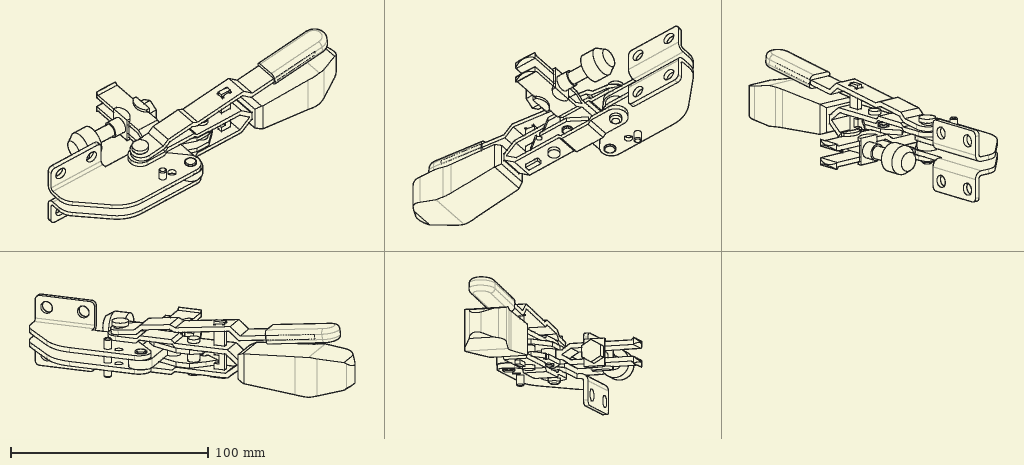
import cadquery as cq
import math


sheet = 2.5
half_web = 2.5
strap_half_width = 6.2
strap_corner = 6.0
plate_outer = half_web + sheet

arm_pivot = (18.2, 0)
handle_pivot = (0, -18.2)
handle_rivet_at = (0, 21.7)
link_rivet_at = (-6.0, 8.3)

pin_radius = 6.2 / 2

base_round = 6.2
base_top_round_drop = 1.0
base_bottom = -68.1
side_round = 20.5
side_round_start = -36.4
bottom_round = 10.2
hole_at = (arm_pivot[0], -12.0)
hole_radius = 4.0 / 2
flange_outer_x = -12.0
flange_top = -35.8
flange_reach = 18.7
flange_corner = 2.5
bend_outer_radius = 3.9
flange_hole_radius = 6.2 / 2
flange_hole_ys = (-42.0, -62.0)
flange_hole_z = 12.7
bush_radius = 5.1
pivot_pin_bottom = -10.2
pivot_head_bottom = 11.8
pivot_head_top = 14.0
pivot_head_radius = 4.2
arm_pin_half = 5.8
stop_pin_at = (arm_pivot[0], -18.0)
stop_pin_radius = 2.0
stop_pin_half = 10.2
pin_chamfer = 0.5

prong_inner = 3.0
prong_outer = prong_inner + sheet
fork_apex_x = -12.4
fork_end_x = -17.3
tip_bend_x = -49.6
tip_end_x = -52.5
tip_length = 2.8
tip_round = 13.2
lobe_radius = 3.7

link_left = -11.0
link_right = 5.6
link_head_radius = 2.8
link_head_top = 6.2
hook_notch_at = (-9.9, 23.5)
hook_notch_radius = 1.5

handle_inner = 5.1
joggle_rise = 1.8
handle_rivet_half = 9.5
tang_half = sheet
tang_end = 83.0

grip_start = 49.0
grip_end = 108.4
grip_blank_half = 17.6

spindle_x = -30.0
washer_thickness = 1.0
washer_half_width = 5.5
washer_half_height = 7.0
tab_edge_depth = 0.9
tab_mid_depth = 3.2
head_across_flats = 10.0
head_height = 4.8
shank_radius = prong_inner
neck_radius = 4.2
neck_end = -13.6
rod_radius = 3.4
cap_start = -25.2
cap_cone_start = -33.2
cap_end = -37.5
cap_radius = 7.6
cap_tip_radius = 5.0

lever_tilt = 8.1
lever_round_y = -21.4
lever_grip_start = 65.1
lever_strap_end = 91.8
lever_grip_end = 102.9
lever_grip_half_width = 13.6 / 2
lever_grip_half_height = 3.7
lever_grip_fillet = 2.3
lever_strap_top = 8.6

catch_half_thickness = 1.32
catch_front = 33.2
catch_back = 39.0
catch_top = 20.3
catch_bottom = -9.7
catch_foot_front = 31.2
catch_notch_back = 35.8
catch_notch_half = 2.3
relief_size = 0.9


def pin(center, radius, bottom, top):
    """Vertical cylinder between two heights."""
    return cq.Workplane("XY", origin=(*center, bottom)).circle(radius).extrude(top - bottom)


def y_cylinder(radius, start, end):
    """Cylinder on the spindle axis from Y = start down to Y = end."""
    return cq.Workplane("XZ", origin=(spindle_x, start, 0)).circle(radius).extrude(start - end)


def profile_along_x(points, half_width):
    """Side outline in Y and Z, extruded to both sides of X = 0."""
    return cq.Workplane("YZ").polyline(points).close().extrude(half_width, both=True)


def nearest(x, y, z):
    """Selector for the edge whose middle is closest to a point."""
    return cq.selectors.NearestToPointSelector((x, y, z))


def mirrored(shape):
    """The shape together with its mirror image below Z = 0."""
    return shape.union(shape.mirror("XY"))


def make_base_plate():
    """Upper base plate with its outline rounded about both pivots."""
    top_center = (arm_pivot[0], arm_pivot[1] - base_top_round_drop)
    slope = math.atan2(top_center[1] - handle_pivot[1], top_center[0] - handle_pivot[0])
    side = (-base_round * math.sin(slope), base_round * math.cos(slope))

    def on_round(center, degrees):
        angle = math.radians(degrees)
        return (center[0] + base_round * math.cos(angle), center[1] + base_round * math.sin(angle))

    right = top_center[0] + base_round
    left = handle_pivot[0] - base_round
    corner = math.sqrt(0.5)
    half_turn = math.radians(22.5)
    side_end = (right - side_round * (1 - corner), side_round_start - side_round * corner)
    side_mid = (
        right - side_round * (1 - math.cos(half_turn)),
        side_round_start - side_round * math.sin(half_turn),
    )
    bottom_corner_x = side_end[0] - (side_end[1] - base_bottom)
    plate = (
        cq.Workplane("XY", origin=(0, 0, half_web))
        .moveTo(left, handle_pivot[1])
        .threePointArc(on_round(handle_pivot, 160), (handle_pivot[0] + side[0], handle_pivot[1] + side[1]))
        .lineTo(top_center[0] + side[0], top_center[1] + side[1])
        .threePointArc(on_round(top_center, 60), (right, top_center[1]))
        .lineTo(right, side_round_start)
        .threePointArc(side_mid, side_end)
        .lineTo(bottom_corner_x, base_bottom)
        .lineTo(left, base_bottom)
        .close()
        .extrude(sheet)
        .edges(nearest(bottom_corner_x, base_bottom, plate_outer - sheet / 2))
        .fillet(bottom_round)
    )
    return plate.cut(pin(hole_at, hole_radius, 0, plate_outer))


def make_flange():
    """Upper mounting flange, bent up from the left edge of the base plate."""
    flange_inner_x = flange_outer_x + sheet
    join_x = handle_pivot[0] - base_round
    flange = (
        cq.Workplane("XZ", origin=(0, flange_top, 0))
        .moveTo(join_x, half_web)
        .lineTo(flange_outer_x, half_web)
        .lineTo(flange_outer_x, flange_reach)
        .lineTo(flange_inner_x, flange_reach)
        .lineTo(flange_inner_x, plate_outer)
        .lineTo(join_x, plate_outer)
        .close()
        .extrude(flange_top - base_bottom)
    )
    middle_y = (flange_top + base_bottom) / 2
    flange = flange.edges(nearest(flange_outer_x, middle_y, half_web)).fillet(bend_outer_radius)
    flange = flange.edges(nearest(flange_inner_x, middle_y, plate_outer)).fillet(bend_outer_radius - sheet)
    flange = flange.faces(">Z").edges("|X").fillet(flange_corner)
    holes = (
        cq.Workplane("YZ", origin=(flange_outer_x, 0, 0))
        .pushPoints([(y, flange_hole_z) for y in flange_hole_ys])
        .circle(flange_hole_radius)
        .extrude(sheet)
    )
    return flange.cut(holes)


def make_pivot_pin():
    """Headed pin on which the handle and the lever turn."""
    shank = pin(handle_pivot, pin_radius, pivot_pin_bottom, pivot_head_top)
    head = pin(handle_pivot, pivot_head_radius, pivot_head_bottom, pivot_head_top)
    return shank.faces("<Z").chamfer(2 * pin_chamfer).union(head)


def make_base():
    """Both base plates with their flanges, joined by the pivot pins and the stop pin."""
    plates = mirrored(make_base_plate().union(make_flange()))
    bush = pin(handle_pivot, bush_radius, -half_web, half_web)
    arm_pin = pin(arm_pivot, pin_radius, -arm_pin_half, arm_pin_half).faces("<Z or >Z").chamfer(pin_chamfer)
    stop_pin = pin(stop_pin_at, stop_pin_radius, -stop_pin_half, stop_pin_half)
    stop_pin = stop_pin.faces("<Z or >Z").chamfer(pin_chamfer)
    return plates.union(bush).union(arm_pin).union(stop_pin).union(make_pivot_pin())


def make_arm():
    """Forked clamp arm: a web that splits into two prongs with tips bent outward."""
    fork_angle = math.atan2(prong_inner, fork_apex_x - fork_end_x)
    diagonal = math.sqrt(0.5)
    tip_step = tip_length * diagonal
    sheet_step = sheet * diagonal
    bend_shift = sheet * math.tan(math.radians(22.5))
    inner_bend_x = tip_bend_x - bend_shift
    tip_inner = (inner_bend_x - tip_step, prong_inner + tip_step)
    right = arm_pivot[0] + strap_half_width
    prong = (
        cq.Workplane("XZ")
        .polyline([
            (right, 0),
            (fork_apex_x, 0),
            (fork_end_x, prong_inner),
            (inner_bend_x, prong_inner),
            tip_inner,
            (tip_inner[0] + sheet_step, tip_inner[1] + sheet_step),
            (tip_bend_x, prong_outer),
            (fork_end_x + sheet * math.tan(fork_angle / 2), prong_outer),
            (fork_apex_x, half_web),
            (right, half_web),
        ])
        .close()
        .extrude(strap_half_width, both=True)
    )
    tip_side_x = tip_end_x + tip_round - math.sqrt(tip_round**2 - strap_half_width**2)
    outline = (
        cq.Workplane("XY", origin=(0, 0, -washer_half_height - sheet))
        .moveTo(arm_pivot[0], strap_half_width)
        .threePointArc((right, 0), (arm_pivot[0], -strap_half_width))
        .lineTo(tip_side_x, -strap_half_width)
        .threePointArc((tip_end_x, 0), (tip_side_x, strap_half_width))
        .close()
        .extrude(2 * (washer_half_height + sheet))
    )
    arm = mirrored(prong).intersect(outline)
    arm = arm.union(pin(link_rivet_at, lobe_radius, -half_web, half_web))
    for center, radius in ((arm_pivot, pin_radius), (link_rivet_at, link_head_radius)):
        arm = arm.cut(pin(center, radius, -half_web, half_web))
    return arm


def make_link_plate(nose, bottom):
    """Link plate whose upper left end runs through the given nose points."""
    plate = (
        cq.Workplane("XY", origin=(0, 0, bottom))
        .polyline([
            (link_left, 5.0), *nose, (link_right, handle_rivet_at[1]),
            (link_right, 14.1), (0, 0), (-4.6, -4.2),
        ])
        .close()
        .extrude(sheet)
    )
    return plate.cut(pin(handle_rivet_at, pin_radius, -plate_outer, plate_outer))


def make_link():
    """The two link plates, the lower one with the catch hook, joined by the arm rivet."""
    upper = make_link_plate([(link_left, 17.0), (-3.2, 27.7), (2.5, 27.7)], half_web)
    lower = make_link_plate([(link_left, 21.9), (-10.5, 25.6), (-5.0, 33.0), (0, 28.2)], -plate_outer)
    lower = lower.cut(pin(hook_notch_at, hook_notch_radius, -plate_outer, -half_web))
    rivet = pin(link_rivet_at, link_head_radius, -link_head_top, link_head_top)
    return upper.union(lower).union(rivet.faces("<Z or >Z").chamfer(pin_chamfer))


def make_handle():
    """Handle: two straps that meet in a tang, with the rivet that carries the links."""
    outer = handle_inner + sheet
    end_y = handle_pivot[1] - strap_half_width
    strap = profile_along_x(
        [
            (end_y, handle_inner), (-7.5, handle_inner), (-5.6, handle_inner + joggle_rise),
            (12.4, handle_inner + joggle_rise), (14.1, handle_inner), (41.3, handle_inner), (47.7, 0),
            (tang_end, 0), (tang_end, tang_half), (48.7, tang_half), (42.4, outer), (13.6, outer),
            (11.8, outer + joggle_rise), (-5.1, outer + joggle_rise), (-6.9, outer), (end_y, outer),
        ],
        strap_half_width,
    )
    strap = strap.edges("|Z and <Y").fillet(strap_corner)
    handle = mirrored(strap).cut(pin(handle_pivot, pin_radius, -outer, outer))
    return handle.union(pin(handle_rivet_at, pin_radius, -handle_rivet_half, handle_rivet_half))


def make_grip(handle):
    """Moulded grip on the handle's tang: the plan outline crossed with the side outline."""
    plan = (
        cq.Workplane("XY", origin=(0, 0, -grip_blank_half))
        .moveTo(-8.3, grip_start)
        .lineTo(-9.9, 52.2)
        .lineTo(-10.5, 80.1)
        .threePointArc((-10.6, 82.6), (-11.0, 84.7))
        .lineTo(-14.0, 97.5)
        .threePointArc((-14.0, 100.8), (-11.8, 103.5))
        .lineTo(-4.0, 107.8)
        .threePointArc((-0.4, 108.2), (2.8, 105.9))
        .lineTo(10.0, 92.5)
        .threePointArc((11.3, 88.6), (11.5, 81.2))
        .lineTo(10.5, 53.0)
        .lineTo(8.6, grip_start)
        .close()
        .extrude(2 * grip_blank_half)
    )
    half_side = [
        (grip_start, 6.5), (52.2, 8.0), (88.6, 10.8), (104.7, 7.5), (grip_end, 5.0),
    ]
    side = profile_along_x(half_side + [(y, -z) for y, z in reversed(half_side)], grip_blank_half)
    return plan.intersect(side).cut(handle)


def make_washer():
    """Flanged washer on the +Y side of the arm, with a rounded tab over each prong."""
    inner_y = strap_half_width
    plate = cq.Workplane("XY").box(
        2 * washer_half_width, washer_thickness, 2 * washer_half_height
    ).translate((spindle_x, inner_y + washer_thickness / 2, 0))
    left = spindle_x - washer_half_width
    right = spindle_x + washer_half_width
    tab = (
        cq.Workplane("XY", origin=(0, 0, prong_outer))
        .moveTo(left, inner_y)
        .lineTo(left, inner_y - tab_edge_depth)
        .threePointArc((spindle_x, inner_y - tab_mid_depth), (right, inner_y - tab_edge_depth))
        .lineTo(right, inner_y)
        .close()
        .extrude(washer_half_height - prong_outer)
    )
    return plate.union(mirrored(tab))


def make_spindle():
    """Hex-headed spindle with its flanged washers, neck and pressure cap."""
    washer_outer = strap_half_width + washer_thickness
    head = (
        cq.Workplane("XZ", origin=(spindle_x, washer_outer, 0))
        .polygon(6, head_across_flats / math.cos(math.radians(30)))
        .extrude(-head_height)
        .rotate((spindle_x, 0, 0), (spindle_x, 1, 0), 30)
    )
    washer = make_washer()
    cap = y_cylinder(cap_radius, cap_start, cap_cone_start)
    cone = (
        cq.Workplane("XZ", origin=(spindle_x, cap_cone_start, 0))
        .circle(cap_radius)
        .workplane(offset=cap_cone_start - cap_end)
        .circle(cap_tip_radius)
        .loft()
    )
    spindle = head.union(washer).union(washer.mirror("XZ"))
    spindle = spindle.union(y_cylinder(shank_radius, washer_outer, -washer_outer))
    spindle = spindle.union(y_cylinder(neck_radius, -washer_outer, neck_end))
    spindle = spindle.union(y_cylinder(rod_radius, neck_end, cap_start))
    return spindle.union(cap).union(cone)


def tilt(shape):
    """Turn a lever part from its own level frame into its sloping place."""
    return shape.rotate((0, 0, 0), (1, 0, 0), lever_tilt)


def sheet_underside(top):
    """Points one sheet thickness below a bent line, with mitred bends."""
    slopes = [math.atan2(b[1] - a[1], b[0] - a[0]) for a, b in zip(top, top[1:])]
    underside = []
    for (y, z), before, after in zip(top, slopes[:1] + slopes, slopes + slopes[-1:]):
        bisector = (before + after) / 2
        depth = sheet / math.cos((after - before) / 2)
        underside.append((y + depth * math.sin(bisector), z - depth * math.cos(bisector)))
    return underside


def make_slot_reliefs():
    """Corner reliefs at both ends of the lever's catch slot."""
    reliefs = cq.Workplane("XY")
    for side in (-1, 1):
        for y in (catch_front + relief_size / 2, catch_back - relief_size / 2):
            x = side * (catch_half_thickness + relief_size / 2)
            relief = cq.Workplane("XY", origin=(x, y, pivot_head_top)).rect(relief_size, relief_size)
            reliefs = reliefs.add(relief.extrude(catch_top - pivot_head_top))
    return reliefs.combine()


def make_lever(catch):
    """Release lever: a joggled strap with a slot for the catch."""
    top = [
        (lever_round_y, 13.2), (-6.4, 13.2), (-2.8, 15.5), (13.5, 15.5), (16.2, 13.8), (46.2, 13.8),
        (51.0, lever_strap_top), (lever_strap_end, lever_strap_top),
    ]
    strap = profile_along_x(top + sheet_underside(top)[::-1], strap_half_width)
    strap = strap.edges("|Z and <Y").fillet(strap_corner)
    lever = tilt(strap).cut(pin(handle_pivot, pin_radius, 0, pivot_head_top))
    return lever.cut(catch).cut(make_slot_reliefs())


def make_lever_grip(lever):
    """Rounded grip on the end of the release lever."""
    grip = (
        cq.Workplane("XY", origin=(0, 0, lever_strap_top - sheet / 2 - lever_grip_half_height))
        .moveTo(-lever_grip_half_width, lever_grip_start)
        .lineTo(-lever_grip_half_width, lever_grip_end - lever_grip_half_width)
        .threePointArc((0, lever_grip_end), (lever_grip_half_width, lever_grip_end - lever_grip_half_width))
        .lineTo(lever_grip_half_width, lever_grip_start)
        .close()
        .extrude(2 * lever_grip_half_height)
    )
    grip = grip.edges("(<Z or >Z) and (not <Y)").fillet(lever_grip_fillet)
    return tilt(grip).cut(lever)


def make_catch():
    """Upright catch plate with a notch for the hook and a foot under the handle."""
    foot_top = -handle_inner - sheet
    return profile_along_x(
        [
            (catch_back, catch_top), (catch_front, catch_top), (catch_front, catch_notch_half),
            (catch_notch_back, catch_notch_half), (catch_notch_back, -catch_notch_half),
            (catch_front, -catch_notch_half), (catch_front, foot_top), (catch_foot_front, foot_top),
            (catch_foot_front, catch_bottom), (catch_back, catch_bottom),
        ],
        catch_half_thickness,
    )


catch = make_catch()
base = make_base()
arm = make_arm()
link = make_link()
handle = make_handle().cut(catch)
grip = make_grip(handle)
spindle = make_spindle()
lever = make_lever(catch)
lever_grip = make_lever_grip(lever)

bodies = [base, arm, link, handle, grip, spindle, lever, lever_grip, catch]
result = cq.Compound.makeCompound([body.val() for body in bodies])